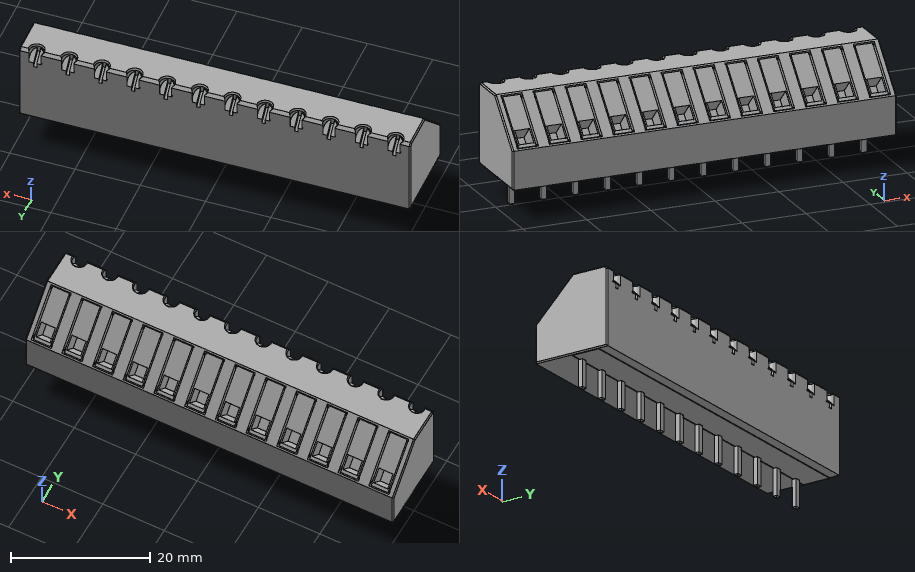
import cadquery as cq
import math

pole_count = 12
pitch = 5.0
length = pole_count * pitch
depth = 12.5
height = 12.5
slope_drop = 6.5
slope_run = 6.5
edge_break = 0.2
back_chamfer = 0.45
y_front = -depth / 2
y_back = depth / 2

rail_height = 0.1
rail_end_inset = edge_break
rail_y_min = 0.0
rail_y_max = y_back - 1.65

pin_width = 0.9
pin_thickness = 0.7
pin_tip_chamfer = 0.2
pin_length = 4.6
pin_y = 0.25

slope_gradient = slope_drop / slope_run
slope_length = math.hypot(slope_run, slope_drop)
pocket_width = 3.25
pocket_end_margin = 0.2
button_width = 2.75
button_sink = 0.15
entry_size = 2.3
entry_depth = 3.0
entry_offset = 2.1

notch_diameter = 2.46
screw_diameter = 2.16
notch_depth = 3.0
notch_y = y_back - 0.58
notch_chamfer_depth = 0.3
screw_front_depth = 0.5
screw_tilt = 45.0
driver_slot_width = 0.5
driver_slot_depth = 0.5

pole_positions = [(i - (pole_count - 1) / 2) * pitch for i in range(pole_count)]

slope_plane = cq.Plane(
    origin=(0, y_front + slope_run / 2, height - slope_drop / 2),
    xDir=(1, 0, 0),
    normal=(0, -slope_drop, slope_run),
)


def slope_z(y):
    return height - slope_drop + slope_gradient * (y - y_front)


pocket_back_y = y_front + slope_run - pocket_end_margin
pocket_floor_z = slope_z(y_front + pocket_end_margin)
button_drop = button_sink * slope_length / slope_run


def make_housing():
    profile = [
        (y_front, 0),
        (y_back, 0),
        (y_back, height - back_chamfer),
        (y_back - back_chamfer, height),
        (y_front + slope_run, height),
        (y_front, height - slope_drop),
    ]
    body = cq.Workplane("YZ").polyline(profile).close().extrude(length / 2, both=True)
    return body.faces("<X or >X").edges().chamfer(edge_break)


def make_rail():
    rail_length = length - 2 * rail_end_inset
    rail = cq.Workplane("XY").box(
        rail_length, rail_y_max - rail_y_min, rail_height, centered=(True, False, False)
    )
    return rail.translate((0, rail_y_min, -rail_height))


def make_wedge(x, width, sink):
    """Triangular prism between the pocket's back wall, its floor and a plane
    lying `sink` below the sloped face, measured along Z."""
    top_z = slope_z(pocket_back_y) - sink
    front_y = pocket_back_y - (top_z - pocket_floor_z) / slope_gradient
    outline = [
        (pocket_back_y, pocket_floor_z),
        (pocket_back_y, top_z),
        (front_y, pocket_floor_z),
    ]
    wedge = cq.Workplane("YZ").polyline(outline).close().extrude(width / 2, both=True)
    return wedge.translate((x, 0, 0))


def make_entry(x):
    entry_y = entry_offset - slope_length / 2
    return cq.Workplane(slope_plane).center(x, entry_y).rect(entry_size, entry_size).extrude(-entry_depth)


def make_bore(x):
    """Upright screw bore with a conical mouth, open through the back face."""
    bore = cq.Workplane("XY").circle(screw_diameter / 2).extrude(-notch_depth)
    mouth = cq.Workplane(
        cq.Solid.makeCone(
            screw_diameter / 2, notch_diameter / 2, notch_chamfer_depth, pnt=(0, 0, -notch_chamfer_depth)
        )
    )
    return bore.union(mouth).translate((x, notch_y, height))


def make_notch(x):
    """Part of the bore above a tilted screw face, with a driver slot sunk into that face."""
    screw_plane = cq.Plane(
        origin=(x, notch_y - screw_diameter / 2, height - screw_front_depth),
        xDir=(1, 0, 0),
        normal=(0, math.sin(math.radians(screw_tilt)), math.cos(math.radians(screw_tilt))),
    )
    reach = 4 * notch_diameter
    space = cq.Workplane(screw_plane).rect(reach, reach).extrude(reach)
    slot = cq.Workplane(screw_plane).rect(driver_slot_width, reach).extrude(-driver_slot_depth)
    return make_bore(x).intersect(space.union(slot))


def make_pin(x):
    pin = cq.Workplane("XY").center(x, pin_y).rect(pin_width, pin_thickness).extrude(-pin_length)
    return pin.faces("<Z").chamfer(pin_tip_chamfer)


result = make_housing().union(make_rail())
for x in pole_positions:
    result = result.cut(make_wedge(x, pocket_width, 0)).union(make_wedge(x, button_width, button_drop))
    result = result.cut(make_entry(x)).cut(make_notch(x)).union(make_pin(x))